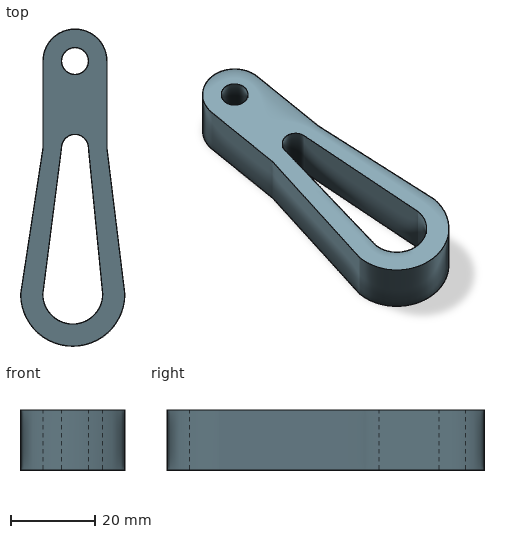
import cadquery as cq

length = 75.5
width = 24.8
thickness = 14.4
small_radius = 7.6
small_end_x = 0.5
pin_hole_diameter = 6.35
slot_big_radius = 7.1
slot_small_radius = 3.2
neck_y = 34.8

big_radius = width / 2
small_end_y = length - big_radius - small_radius
slot_small_y = neck_y
arm_left = small_end_x - small_radius
arm_right = small_end_x + small_radius


def arm_body():
    """Straight arm flaring into a large end, with a half circle at each end."""
    return (
        cq.Workplane("XY")
        .moveTo(arm_left, neck_y)
        .lineTo(arm_left, small_end_y)
        .threePointArc((small_end_x, small_end_y + small_radius), (arm_right, small_end_y))
        .lineTo(arm_right, neck_y)
        .lineTo(big_radius, 0)
        .threePointArc((0, -big_radius), (-big_radius, 0))
        .close()
        .extrude(thickness)
    )


def tapered_slot():
    """Through slot with a half circle at each end and straight tapering sides."""
    return (
        cq.Workplane("XY")
        .moveTo(-slot_big_radius, 0)
        .lineTo(small_end_x - slot_small_radius, slot_small_y)
        .threePointArc(
            (small_end_x, slot_small_y + slot_small_radius),
            (small_end_x + slot_small_radius, slot_small_y),
        )
        .lineTo(slot_big_radius, 0)
        .threePointArc((0, -slot_big_radius), (-slot_big_radius, 0))
        .close()
        .extrude(thickness)
    )


def pin_hole():
    """Round through hole concentric with the small end."""
    return (
        cq.Workplane("XY")
        .center(small_end_x, small_end_y)
        .circle(pin_hole_diameter / 2)
        .extrude(thickness)
    )


result = arm_body().cut(tapered_slot()).cut(pin_hole())